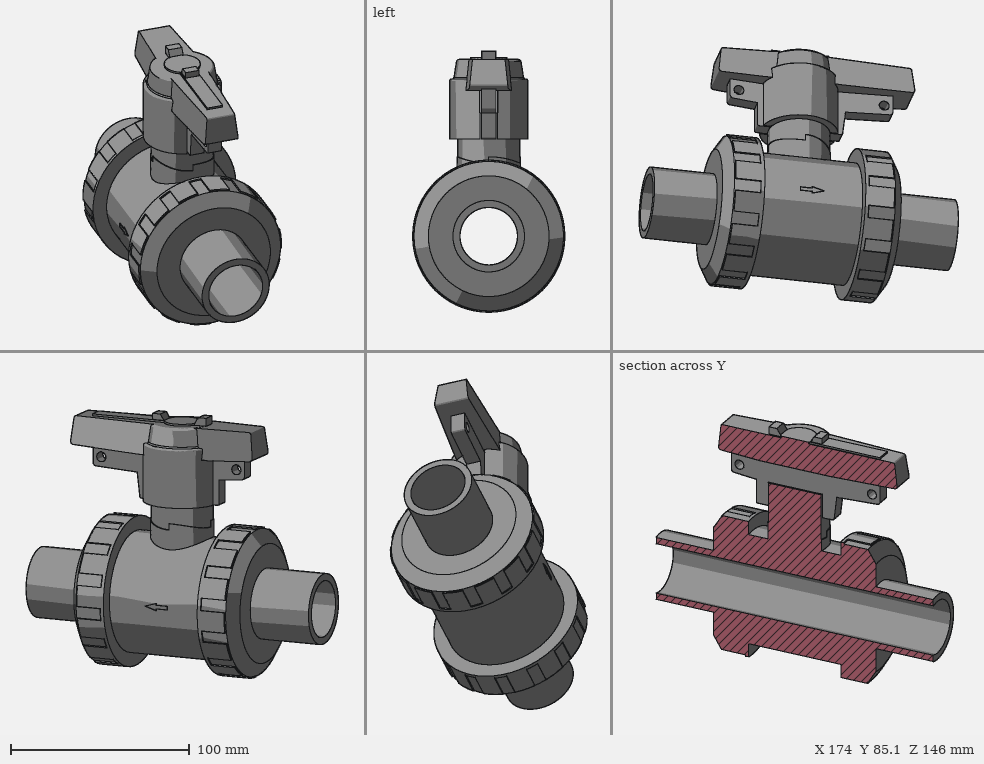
import cadquery as cq
import math


total_length = 174.0
pipe_radius = 20.0
bore_radius = 16.0
body_radius = 34.5

nut_inner_x = 28.9
nut_collar_x = 31.0
nut_pad_end_x = 45.5
nut_cone_x = 45.6
nut_outer_x = 51.2
nut_radius = 42.55
nut_recess_radius = 41.8
nut_face_radius = 33.8
pad_count = 14
pad_angle = 16.2
pad_phase = 5.1

arrow_half_length = 6.8
arrow_shaft_width = 2.1
arrow_head_width = 4.2
arrow_height = 0.3

neck_radius = 17.7
ramp_low_z = 40.7
ramp_high_z = 44.4
ramp_count = 4
stem_radius = 17.4
stem_top_z = 68.9

hub_radius = 22.0
hub_bottom_z = 54.3
hub_shoulder_z = 87.9
hub_shoulder_round = 1.2
hub_ledge_radius = 20.0
hub_cone_z = 88.7
hub_cone_radius = 19.5
handle_top_z = 98.8
hub_top_radius = 18.1
hub_top_round = 1.2
hub_flat_radius = 16.0
slot_width = 10.0

grip_bottom_z = 81.3
grip_end_z = 82.6
grip_left_x = -48.4
grip_right_x = 64.7
grip_left_half_width = 11.0
grip_middle_half_width = 14.0
grip_right_half_width = 10.1
grip_draft_angle = 6.5
grip_top_round = 1.4
grip_lower_round = 2.0

plate_width = 8.2
plate_left_x = -40.2
plate_right_x = 53.0
plate_arm_end_z = 70.3
plate_arm_root_z = 68.9
plate_web_left_x = -24.5
plate_web_right_x = 26.0
plate_web_foot_x = 24.2
plate_arm_round = 2.0
plate_foot_round = 1.0
plate_hole_radius = 2.8
plate_hole_z = 75.7
plate_hole_inset = 5.0

cap_radius = 10.1
cap_top_z = 99.9
pointer_width = 9.2
pointer_end_x = 53.2
lug_top_z = 103.4
lug_width = 8.0
lug_outer_x = 16.5
lug_top_inner_x = 11.7
lug_toe_x = 9.4


def x_cylinder(radius, start, end):
    return cq.Workplane("YZ", origin=(start, 0, 0)).circle(radius).extrude(end - start)


def z_cylinder(radius, start, end):
    return cq.Workplane("XY", origin=(0, 0, start)).circle(radius).extrude(end - start)


def y_prism(outline, width):
    """Extrude a closed XZ outline symmetrically about the Y = 0 plane."""
    return cq.Workplane("XZ").polyline(outline).close().extrude(width / 2, both=True)


def make_nut():
    """Nut on the -X side: plain collar, band of raised grip pads, conical end."""
    profile = [
        (-nut_inner_x, 0),
        (-nut_inner_x, nut_radius),
        (-nut_cone_x, nut_radius),
        (-nut_outer_x, nut_face_radius),
        (-nut_outer_x, 0),
    ]
    nut = cq.Workplane("XY").polyline(profile).close().revolve(360, (0, 0), (1, 0))
    ring_outer_radius = nut_radius + 1.7
    ring = x_cylinder(ring_outer_radius, -nut_outer_x, -nut_collar_x).cut(
        x_cylinder(nut_recess_radius, -nut_outer_x, -nut_collar_x)
    )
    gap_outline = [
        (-nut_pad_end_x, nut_recess_radius - 1.7),
        (-nut_inner_x, nut_recess_radius - 1.7),
        (-nut_inner_x, ring_outer_radius + 1.7),
        (-nut_pad_end_x, ring_outer_radius + 1.7),
    ]
    gap = cq.Workplane("XZ").polyline(gap_outline).close().revolve(pad_angle, (0, 0), (1, 0))
    first_start = 90 - pad_phase - pad_angle / 2
    for index in range(pad_count):
        start_angle = first_start + index * 360 / pad_count
        ring = ring.cut(gap.rotate((0, 0, 0), (1, 0, 0), start_angle))
    return nut.cut(ring)


def make_arrow():
    """Arrow pointing to +X, standing slightly proud of the -Y side of the body."""
    shaft = arrow_shaft_width / 2
    head = arrow_head_width / 2
    outline = [
        (-arrow_half_length, -shaft),
        (0, -shaft),
        (0, -head),
        (arrow_half_length, 0),
        (0, head),
        (0, shaft),
        (-arrow_half_length, shaft),
    ]
    prism = cq.Workplane("XZ").polyline(outline).close().extrude(nut_radius)
    skin = x_cylinder(body_radius + arrow_height, -arrow_half_length, arrow_half_length)
    return prism.intersect(skin)


def make_neck():
    """Neck ring whose rim drops smoothly over each quarter turn, then steps up."""
    drop = ramp_high_z - ramp_low_z
    clear_radius = neck_radius + 1.7
    clear_z = ramp_high_z + 1.7
    neck = z_cylinder(neck_radius, 0, clear_z)
    space_above_ramp = (
        cq.Workplane("XZ")
        .moveTo(0, clear_z)
        .lineTo(0, ramp_high_z)
        .threePointArc(
            (neck_radius / 2, ramp_high_z - drop / 4), (neck_radius, ramp_low_z)
        )
        .lineTo(clear_radius, ramp_low_z)
        .lineTo(clear_radius, clear_z)
        .close()
        .extrude(clear_radius)
    )
    for index in range(ramp_count):
        angle = index * 360 / ramp_count
        neck = neck.cut(space_above_ramp.rotate((0, 0, 0), (0, 0, 1), angle))
    return neck


def make_hub():
    """Sleeve with a conical crown, slotted along X for the locking plate."""
    round_45 = math.sqrt(0.5)
    shoulder_centre_x = hub_radius - hub_shoulder_round
    shoulder_centre_z = hub_shoulder_z - hub_shoulder_round
    shoulder_mid = (
        shoulder_centre_x + hub_shoulder_round * round_45,
        shoulder_centre_z + hub_shoulder_round * round_45,
    )
    top_mid = (
        hub_flat_radius + (hub_top_radius - hub_flat_radius) * round_45,
        handle_top_z - hub_top_round * (1 - round_45),
    )
    hub = (
        cq.Workplane("XZ")
        .moveTo(0, hub_bottom_z)
        .lineTo(hub_radius, hub_bottom_z)
        .lineTo(hub_radius, shoulder_centre_z)
        .threePointArc(shoulder_mid, (shoulder_centre_x, hub_shoulder_z))
        .lineTo(hub_ledge_radius, hub_shoulder_z)
        .lineTo(hub_cone_radius, hub_cone_z)
        .lineTo(hub_top_radius, handle_top_z - hub_top_round)
        .threePointArc(top_mid, (hub_flat_radius, handle_top_z))
        .lineTo(0, handle_top_z)
        .close()
        .revolve(360, (0, 0), (0, 1))
    )
    slot_height = grip_bottom_z - hub_bottom_z
    slot = cq.Workplane("XY", origin=(0, 0, hub_bottom_z + slot_height / 2)).box(
        2 * hub_radius, slot_width, slot_height
    )
    return hub.cut(slot)


def make_grip():
    outline = [
        (grip_left_x, -grip_left_half_width),
        (0, -grip_middle_half_width),
        (grip_right_x, -grip_right_half_width),
        (grip_right_x, grip_right_half_width),
        (0, grip_middle_half_width),
        (grip_left_x, grip_left_half_width),
    ]
    grip = (
        cq.Workplane("XY", origin=(0, 0, grip_bottom_z))
        .polyline(outline)
        .close()
        .extrude(handle_top_z - grip_bottom_z, taper=grip_draft_angle)
    )
    grip = grip.edges(">Z").edges("|Y").fillet(grip_top_round)
    for end_x, hub_x in ((grip_left_x, -hub_radius), (grip_right_x, hub_radius)):
        wedge = [(hub_x, grip_bottom_z), (end_x, grip_bottom_z), (end_x, grip_end_z)]
        grip = grip.cut(y_prism(wedge, 2 * hub_radius))
    lower_end_edges = cq.selectors.BoxSelector(
        (2 * grip_left_x, -hub_radius, (grip_bottom_z + grip_end_z) / 2),
        (2 * grip_right_x, hub_radius, grip_end_z + grip_lower_round),
    )
    return grip.edges("|Y").edges(lower_end_edges).fillet(grip_lower_round)


def make_locking_plate():
    plate_top_z = (grip_end_z + handle_top_z) / 2
    outline = [
        (plate_left_x, plate_top_z),
        (plate_left_x, plate_arm_end_z),
        (plate_web_left_x, plate_arm_root_z),
        (plate_web_left_x, hub_bottom_z),
        (plate_web_foot_x, hub_bottom_z),
        (plate_web_right_x, plate_arm_root_z),
        (plate_right_x, plate_arm_end_z),
        (plate_right_x, plate_top_z),
    ]
    plate = y_prism(outline, plate_width)
    corner_reach = (plate_arm_end_z - plate_arm_root_z) / 2
    for corner_z, corner_round in (
        (plate_arm_end_z, plate_arm_round),
        (hub_bottom_z, plate_foot_round),
    ):
        corners = cq.selectors.BoxSelector(
            (2 * plate_left_x, -plate_width, corner_z - corner_reach),
            (2 * plate_right_x, plate_width, corner_z + corner_reach),
        )
        plate = plate.edges("|Y").edges(corners).fillet(corner_round)
    hole_positions = [
        (plate_left_x + plate_hole_inset, plate_hole_z),
        (plate_right_x - plate_hole_inset, plate_hole_z),
    ]
    holes = (
        cq.Workplane("XZ")
        .pushPoints(hole_positions)
        .circle(plate_hole_radius)
        .extrude(plate_width, both=True)
    )
    return plate.cut(holes)


def make_top_marks():
    """Round cap, pointer bar towards +X and two lugs beside the cap."""
    marks = z_cylinder(cap_radius, hub_cone_z, cap_top_z)
    pointer_outline = [
        (0, hub_cone_z),
        (pointer_end_x, hub_cone_z),
        (pointer_end_x, cap_top_z),
        (0, cap_top_z),
    ]
    lug_outline = [
        (lug_toe_x, hub_cone_z),
        (lug_outer_x, hub_cone_z),
        (lug_outer_x, lug_top_z),
        (lug_top_inner_x, lug_top_z),
        (lug_toe_x, cap_top_z),
    ]
    lug = y_prism(lug_outline, lug_width)
    return marks.union(y_prism(pointer_outline, pointer_width)).union(lug).union(lug.mirror("YZ"))


left_nut = make_nut()
right_nut = left_nut.rotate((0, 0, 0), (0, 0, 1), 180)
front_arrow = make_arrow()
valve = (
    x_cylinder(pipe_radius, -total_length / 2, total_length / 2)
    .union(x_cylinder(body_radius, -nut_collar_x, nut_collar_x))
    .union(left_nut)
    .union(right_nut)
    .union(front_arrow)
    .union(front_arrow.mirror("XZ"))
    .union(make_neck())
    .cut(x_cylinder(bore_radius, -total_length / 2, total_length / 2))
)

stem = z_cylinder(stem_radius, body_radius - 3.5, stem_top_z)
handle = make_hub().union(make_grip()).union(make_locking_plate()).union(make_top_marks())

result = valve.union(stem).union(handle)